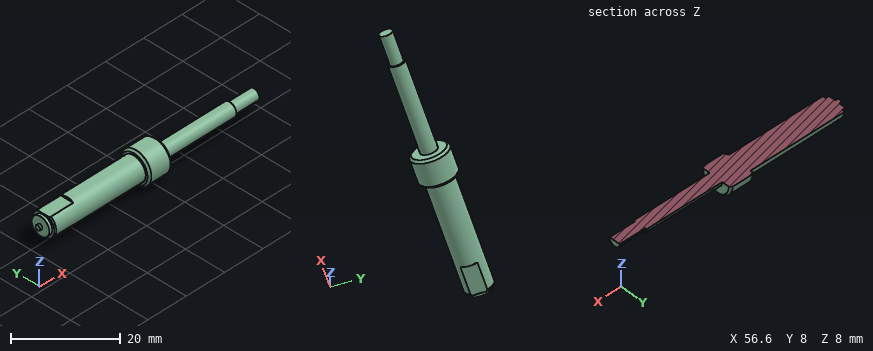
import cadquery as cq

total_length = 56.6

pin_diameter = 1.2
pin_length = 0.75
pin_dome_height = 0.15
pin_dome_radius = ((pin_diameter / 2) ** 2 + pin_dome_height**2) / (2 * pin_dome_height)

pilot_diameter = 4.6
pilot_length = 0.85
pilot_face_diameter = 3.3
pilot_cone_height = 0.1

body_diameter = 6.0
body_chamfer_length = 0.35
body_chamfer_depth = 0.15
body_start = pin_length + pilot_length

flat_spacing = 5.05
flat_end = 7.75

collar_diameter = 8.0
collar_start = 25.25
collar_length = 6.0
collar_chamfer = 0.5
collar_end = collar_start + collar_length

shaft_diameter = 3.5
tail_diameter = 2.8
tail_length = 6.4
tail_start = total_length - tail_length


def cylinder(diameter, start, end):
    """Solid cylinder along X between two positions."""
    return cq.Workplane("YZ", origin=(start, 0, 0)).circle(diameter / 2).extrude(end - start)


def make_body():
    """Round body with a chamfered front edge and two opposite wrench flats."""
    body = cylinder(body_diameter, body_start, collar_start)
    body = body.faces("<X").chamfer(body_chamfer_length, body_chamfer_depth)
    flat_length = flat_end - body_start
    flat_depth = (body_diameter - flat_spacing) / 2
    for side in (1, -1):
        cutter = cq.Workplane("XY").box(flat_length, body_diameter, flat_depth)
        cutter = cutter.translate((
            body_start + flat_length / 2,
            0,
            side * (flat_spacing + flat_depth) / 2,
        ))
        body = body.cut(cutter)
    return body


def make_pin():
    """Thin pin with a shallow spherical dome on its free end."""
    radius = pin_diameter / 2
    half_profile = (
        cq.Workplane("XY")
        .moveTo(pin_length, 0)
        .lineTo(0, 0)
        .radiusArc((pin_dome_height, radius), pin_dome_radius)
        .lineTo(pin_length, radius)
        .close()
    )
    return half_profile.revolve(360, (0, 0, 0), (1, 0, 0))


def make_pilot():
    """Short pilot whose front face slopes back from a flat centre to its rim."""
    pilot = cylinder(pilot_diameter, pin_length, body_start)
    rim_width = (pilot_diameter - pilot_face_diameter) / 2
    return pilot.faces("<X").chamfer(pilot_cone_height, rim_width)


pin = make_pin()
pilot = make_pilot()
collar = cylinder(collar_diameter, collar_start, collar_end).edges().chamfer(collar_chamfer)
shaft = cylinder(shaft_diameter, collar_end, tail_start)
tail = cylinder(tail_diameter, tail_start, total_length)

result = make_body().union(pin).union(pilot).union(collar).union(shaft).union(tail)